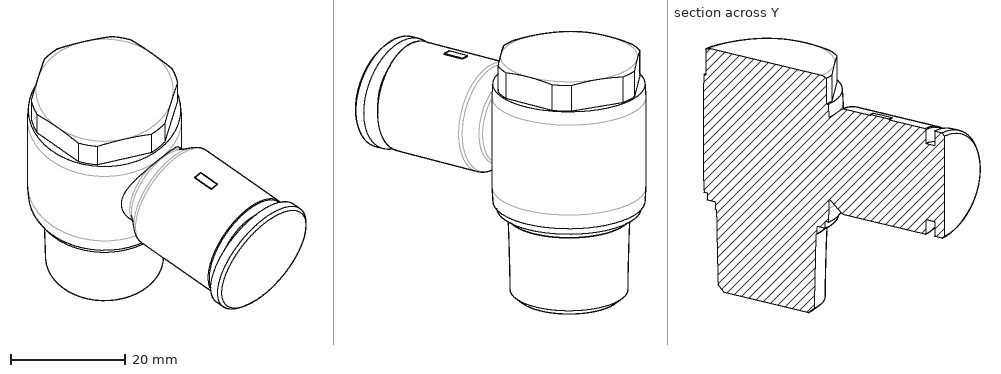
import cadquery as cq
import math

total_length = 51.7
total_height = 44.8
body_radius = 13.5
branch_end = total_length - body_radius
branch_height = 29.7

stem_tip_radius = 9.05
stem_low_radius = 10.35
stem_high_radius = 10.7
stem_tip_top = 1.15
stem_top = 15.0
neck_radius = 10.95
neck_chamfer = 0.15
neck_top = 16.45
shoulder_radius = 12.65
shoulder_top = 17.75
body_end_radius = 13.35
lower_draft_top = 20.35
upper_draft_start = 37.3
body_top = 39.7

hex_sides = 6
hex_across_flats = 24.0
hex_across_corners = hex_across_flats / math.cos(math.pi / hex_sides)
hex_corner_radius = 13.0
hex_chamfer_height = 0.3

branch_neck_radius = 7.6
cone_start = 13.5
cone_end = 16.35
cone_blend_radius = 1.0
socket_radius = 9.9
socket_end = 34.2
socket_chamfer = 0.15
sleeve_radius = 7.15

collar_start = 36.05
collar_half_width = 11.3
collar_half_height = 9.8
collar_chamfer = 0.5

mark_start = 22.35
mark_length = 4.0
mark_width = 1.55
mark_rise = 0.15


def make_body():
    """Stem, shoulder and body as one turned shape."""
    profile = [
        (0, 0),
        (stem_tip_radius, 0),
        (stem_low_radius, stem_tip_top),
        (stem_high_radius, stem_top),
        (neck_radius - neck_chamfer, stem_top),
        (neck_radius, stem_top + neck_chamfer),
        (neck_radius, neck_top),
        (shoulder_radius, neck_top),
        (shoulder_radius, shoulder_top),
        (body_end_radius, shoulder_top),
        (body_radius, lower_draft_top),
        (body_radius, upper_draft_start),
        (body_end_radius, body_top),
        (0, body_top),
    ]
    return cq.Workplane("XZ").polyline(profile).close().revolve(360, (0, 0), (0, 1))


def make_hex_head():
    """Hexagon with flats facing +Y and -Y, trimmed by a chamfered cylinder."""
    head_height = total_height - body_top
    prism = (
        cq.Workplane("XY", origin=(0, 0, body_top))
        .polygon(hex_sides, hex_across_corners)
        .extrude(head_height)
    )
    trim = (
        cq.Workplane("XY", origin=(0, 0, body_top))
        .circle(hex_corner_radius)
        .extrude(head_height)
        .faces(">Z")
        .edges()
        .chamfer(hex_chamfer_height, hex_corner_radius - hex_across_flats / 2)
    )
    return prism.intersect(trim)


def make_branch():
    """Neck, blended cone, socket and sleeve turned about the branch axis."""
    socket = (
        cq.Workplane("XZ")
        .polyline([
            (0, 0),
            (0, branch_neck_radius),
            (cone_start, branch_neck_radius),
            (cone_end, socket_radius),
            (socket_end, socket_radius),
            (socket_end, 0),
        ])
        .close()
        .revolve(360, (0, 0), (1, 0))
    )
    corner_margin = 0.5
    ring_reach = socket_radius + corner_margin
    for corner in (cone_start, cone_end):
        near_corner = cq.selectors.BoxSelector(
            (corner - corner_margin, -ring_reach, -ring_reach),
            (corner + corner_margin, ring_reach, ring_reach),
            boundingbox=True,
        )
        socket = socket.edges(near_corner).fillet(cone_blend_radius)
    socket = socket.faces(">X").edges().chamfer(socket_chamfer)

    sleeve = (
        cq.Workplane("YZ", origin=(socket_end, 0, 0))
        .circle(sleeve_radius)
        .extrude(collar_start - socket_end)
    )
    return socket.union(sleeve).translate((0, 0, branch_height))


def make_collar():
    """Elliptical release collar with a chamfered outer rim."""
    return (
        cq.Workplane("YZ", origin=(collar_start, 0, branch_height))
        .ellipse(collar_half_width, collar_half_height)
        .extrude(branch_end - collar_start)
        .faces(">X")
        .edges()
        .chamfer(collar_chamfer)
    )


def make_mark():
    """Small rectangular pad standing proud of the socket, rooted on its axis."""
    return cq.Workplane("XY", origin=(mark_start, 0, branch_height)).box(
        mark_length, mark_width, socket_radius + mark_rise, centered=(False, True, False)
    )


result = (
    make_body()
    .union(make_hex_head())
    .union(make_branch())
    .union(make_collar())
    .union(make_mark())
)